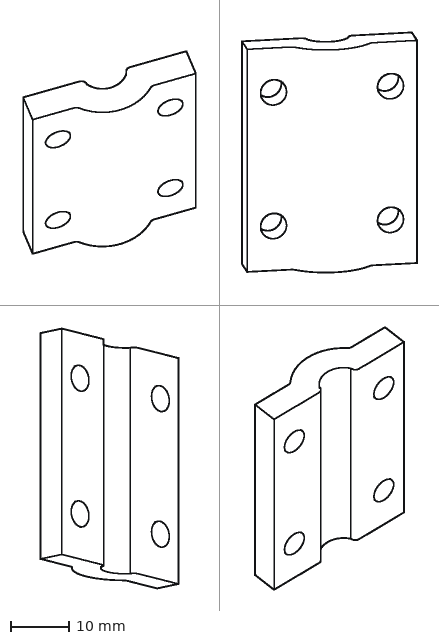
import cadquery as cq
import math

height = 40.0
width = 29.75
depth = 8.0
flange_thickness = 5.0
groove_radius = 4.25
mouth_width = 7.2
fillet_radius = 1.0
hole_diameter = 4.5
hole_spacing_y = 20.5
hole_spacing_z = 24.0

saddle_radius = groove_radius + flange_thickness
axis_x = depth - saddle_radius

half_width = width / 2
saddle_half_chord = math.sqrt(saddle_radius**2 - (flange_thickness - axis_x) ** 2)

mouth_half_width = mouth_width / 2
lip_center_y = mouth_half_width + fillet_radius
lip_mid_x = fillet_radius * (1 - math.sqrt(0.5))
lip_mid_y = lip_center_y - fillet_radius * math.sqrt(0.5)


def clamp_body():
    """Constant cross-section of two flanges and a saddle, extruded along Z."""
    body = (
        cq.Workplane("XY")
        .moveTo(0, -half_width)
        .lineTo(flange_thickness, -half_width)
        .lineTo(flange_thickness, -saddle_half_chord)
        .threePointArc((depth, 0), (flange_thickness, saddle_half_chord))
        .lineTo(flange_thickness, half_width)
        .lineTo(0, half_width)
        .lineTo(0, lip_center_y)
        .threePointArc((lip_mid_x, lip_mid_y), (fillet_radius, mouth_half_width))
        .threePointArc((axis_x + groove_radius, 0), (fillet_radius, -mouth_half_width))
        .threePointArc((lip_mid_x, -lip_mid_y), (0, -lip_center_y))
        .close()
        .extrude(height)
    )
    for side in (-1, 1):
        corner = (flange_thickness, side * saddle_half_chord, height / 2)
        body = body.edges(cq.selectors.NearestToPointSelector(corner)).fillet(fillet_radius)
    return body


def bolt_holes():
    """Four through holes along X, two in each flange."""
    return (
        cq.Workplane("YZ")
        .center(0, height / 2)
        .rect(hole_spacing_y, hole_spacing_z, forConstruction=True)
        .vertices()
        .circle(hole_diameter / 2)
        .extrude(flange_thickness)
    )


result = clamp_body().cut(bolt_holes())